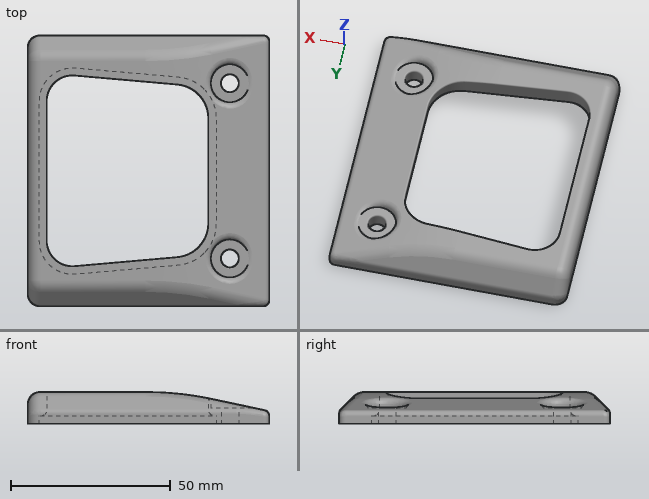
import cadquery as cq
import math

length = 75.8
width = 85.0
height = 10.0
end_height = 4.0
slope_angle = 12.0
slope_blend_radius = 100.0
bevel_run = height - end_height

crest_radius = 5.0
left_radius = 4.0
rim_radius = 2.0
bottom_radius = 0.3

window_left = 6.0
window_right = 56.6
window_left_half_width = 30.6
window_taper = 5.0
window_left_corner = 8.0
window_right_corner = 10.5
window_edge_radius = 0.4
pocket_margin = 2.5
pocket_depth = 2.55
pocket_lip_radius = 2.0

hole_x = 63.4
hole_y = 27.45
hole_diameter = 5.5
hole_edge_radius = 0.5
recess_diameter = 11.9
recess_floor = 5.0
recess_mouth_radius = 2.0

oversize = 17.0
tolerance = 0.01


def pick_edges(body, accept):
    """Edges of the body whose bounding box passes the test."""
    return body.newObject([edge for edge in body.edges().vals() if accept(edge.BoundingBox())])


def make_sloped_block(half_width):
    """Oversized block whose top is flat, then bends through an arc into the slope."""
    angle = math.radians(slope_angle)
    slope = math.tan(angle)
    knee_x = length - (height - end_height) / slope
    blend_start = knee_x - slope_blend_radius * math.tan(angle / 2)

    def blend_point(turn):
        drop = slope_blend_radius * (1 - math.cos(turn))
        return blend_start + slope_blend_radius * math.sin(turn), height - drop

    return (
        cq.Workplane("XZ")
        .moveTo(-oversize, -oversize)
        .lineTo(-oversize, height)
        .lineTo(blend_start, height)
        .threePointArc(blend_point(angle / 2), blend_point(angle))
        .lineTo(length + oversize, end_height - oversize * slope)
        .lineTo(length + oversize, -oversize)
        .close()
        .extrude(half_width, both=True)
    )


def make_ridge():
    """Oversized block with the sloped top, the side bevels and the rounded crests between them."""
    half_top = width / 2 - bevel_run
    half_base = half_top + height + oversize
    bevels = (
        cq.Workplane("YZ", origin=(-oversize, 0, 0))
        .polyline([(-half_base, -oversize), (-half_top, height), (half_top, height), (half_base, -oversize)])
        .close()
        .extrude(length + 2 * oversize)
    )
    ridge = make_sloped_block(half_base).intersect(bevels)

    def on_crest(box):
        return box.xlen > tolerance and box.ylen < half_top and box.zmax > 0

    return pick_edges(ridge, on_crest).fillet(crest_radius)


def make_body():
    """Solid frame blank: the ridge trimmed to the outline, with its outer edges rounded."""
    outline = cq.Workplane("XY").box(length, width, height, centered=(False, True, False))
    outline = outline.edges("|Z and >X").fillet(rim_radius)
    body = make_ridge().intersect(outline)

    def on_rim(box):
        on_side = box.ylen < tolerance and abs(box.center.y) > width / 2 - tolerance
        around_right_end = box.xmin > length - rim_radius - tolerance
        return box.zmin > end_height / 2 and (on_side or around_right_end)

    def on_left_end(box):
        return box.xmax < tolerance and box.zmax > tolerance

    body = pick_edges(body, on_rim).fillet(rim_radius)
    body = pick_edges(body, on_left_end).fillet(left_radius)
    return body.faces("<Z").edges().fillet(bottom_radius)


def make_window():
    """Tapered opening with rounded corners, through the full height."""
    narrowing = (window_right - window_left) * math.tan(math.radians(window_taper))
    right_half_width = window_left_half_width - narrowing
    opening = (
        cq.Workplane("XY")
        .moveTo(window_left, -window_left_half_width)
        .lineTo(window_right, -right_half_width)
        .lineTo(window_right, right_half_width)
        .lineTo(window_left, window_left_half_width)
        .close()
        .extrude(height)
    )
    opening = opening.edges("|Z and <X").fillet(window_left_corner)
    return opening.edges("|Z and >X").fillet(window_right_corner)


def make_pocket(window):
    """Relief in the underside, wider than the window by the same margin all round."""
    outline = window.faces("<Z").wires().toPending().workplane(invert=True)
    return outline.offset2D(pocket_margin).extrude(pocket_depth)


def cut_window(body):
    """Window with a rounded upper edge, and the pocket with a rounded inner lip."""
    window = make_window()

    def on_window_wall(box):
        inside_x = window_left - tolerance < box.xmin and box.xmax < window_right + tolerance
        return inside_x and max(-box.ymin, box.ymax) < window_left_half_width

    def on_upper_edge(box):
        return on_window_wall(box) and box.zmin > end_height

    def on_pocket_lip(box):
        at_ceiling = abs(box.zmin - pocket_depth) < tolerance and box.zlen < tolerance
        return on_window_wall(box) and at_ceiling

    body = pick_edges(body.cut(window), on_upper_edge).fillet(window_edge_radius)
    body = body.cut(make_pocket(window))
    return pick_edges(body, on_pocket_lip).fillet(pocket_lip_radius)


def cut_screw_hole(body, y):
    """Flat-bottomed recess with a rounded mouth, and a through hole with a rounded edge."""

    def bore(diameter, bottom):
        return cq.Workplane("XY", origin=(hole_x, y, bottom)).circle(diameter / 2).extrude(height)

    def within(box, diameter):
        reach_x = max(hole_x - box.xmin, box.xmax - hole_x)
        reach_y = max(y - box.ymin, box.ymax - y)
        return max(reach_x, reach_y) < diameter / 2 + tolerance

    def on_mouth(box):
        return within(box, recess_diameter) and box.zmin > recess_floor + tolerance

    def on_hole_edge(box):
        at_floor = abs(box.zmin - recess_floor) < tolerance and box.zlen < tolerance
        return within(box, hole_diameter) and at_floor

    body = body.cut(bore(recess_diameter, recess_floor))
    body = pick_edges(body, on_mouth).fillet(recess_mouth_radius)
    body = body.cut(bore(hole_diameter, 0))
    return pick_edges(body, on_hole_edge).fillet(hole_edge_radius)


frame = cut_window(make_body())
for side in (-1, 1):
    frame = cut_screw_hole(frame, side * hole_y)
result = frame